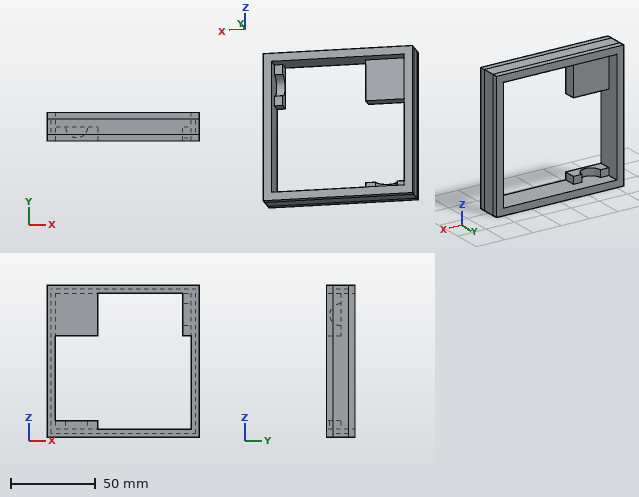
import cadquery as cq

frame_side = 90.0
frame_depth = 17.0
wall = 5.0

band_width = 9.0
band_thickness = wall / 2
band_front = (frame_depth - band_width) / 2

block_length = 25.0
block_height = 5.0
block_depth = frame_depth / 2

seat_diameter = 13.0
seat_y = frame_depth / 2

opening_min = wall
opening_max = frame_side - wall


def box(x_size, y_size, z_size, corner):
    """Box placed by its lowest X, Y, Z corner."""
    return cq.Workplane("XY").box(x_size, y_size, z_size, centered=False).translate(corner)


def square_ring(outer_side, ring_wall, depth, y_start):
    """Square ring around the frame opening, with its outer faces centred on the frame."""
    inner_side = outer_side - 2 * ring_wall
    margin = (frame_side - outer_side) / 2
    inner_margin = margin + ring_wall
    outer = box(outer_side, depth, outer_side, (margin, y_start, margin))
    inner = box(inner_side, depth, inner_side, (inner_margin, y_start, inner_margin))
    return outer.cut(inner)


def seat_cutter(start, direction):
    """Cylinder that hollows the seat through the height of a low block."""
    return cq.Workplane(
        cq.Solid.makeCylinder(seat_diameter / 2, block_height, cq.Vector(*start), cq.Vector(*direction))
    )


def bottom_block():
    """Low block on the bottom wall at the left, with an upright seat."""
    block = box(block_length, block_depth, block_height, (opening_min, 0, opening_min))
    seat_x = opening_min + block_length / 2
    return block.cut(seat_cutter((seat_x, seat_y, opening_min), (0, 0, 1)))


def right_block():
    """Low block on the right wall at the top, with a seat along X."""
    block_left = opening_max - block_height
    block = box(block_height, block_depth, block_length, (block_left, 0, opening_max - block_length))
    seat_z = opening_max - block_length / 2
    return block.cut(seat_cutter((block_left, seat_y, seat_z), (1, 0, 0)))


def corner_block():
    """Square block that fills the upper left corner of the opening."""
    corner = (opening_min, 0, opening_max - block_length)
    return box(block_length, block_depth, block_length, corner)


def make_band():
    return square_ring(frame_side, band_thickness, band_width, band_front)


def make_frame():
    frame = square_ring(frame_side, wall, frame_depth, 0)
    for block in (bottom_block(), right_block(), corner_block()):
        frame = frame.union(block)
    return frame.cut(make_band())


frame = make_frame()
band = make_band()

result = cq.Compound.makeCompound([frame.val(), band.val()])